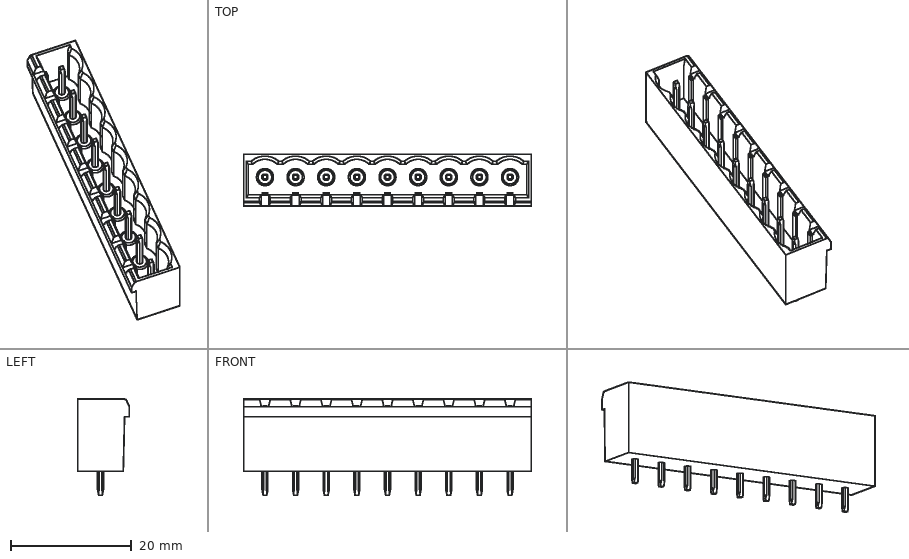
import cadquery as cq


PIN_COUNT = 9
PITCH = 5.08
END_MARGIN = 3.54
PIN_XS = [(i - (PIN_COUNT - 1) / 2) * PITCH for i in range(PIN_COUNT)]

LENGTH = (PIN_COUNT - 1) * PITCH + 2 * END_MARGIN
HEIGHT = 12.0
DEPTH = 8.6
BACK_Y = 3.8
FRONT_Y = BACK_Y - DEPTH

LIP_HEIGHT = 3.0
LIP_OVERHANG = 0.79
WALL_DRAFT = 0.21
BEVEL_TOP_SETBACK = 0.83
BEVEL_EDGE_SETBACK = 0.52
BEVEL_EDGE_DROP = 0.14
BEVEL_DROP = 1.28

FLOOR_Z = 3.0
LEAD_IN_DEPTH = 1.4
LEAD_IN_Z = HEIGHT - LEAD_IN_DEPTH
END_WALL = 0.77
END_LEAD_IN = 0.3
POCKET_BACK_Y = 2.1
BACK_LEAD_IN = 0.53
POCKET_FRONT_Y = -2.94
FRONT_LEAD_IN = 0.45
SCALLOP_RADIUS = 2.95

NOTCH_TOP_WIDTH = 1.82
NOTCH_FLOOR_WIDTH = 1.2

RIB_WIDTH = 0.95
RIB_REACH = 0.36
RIB_BEVEL = 0.18

COLLAR_BASE_RADIUS = 1.41
COLLAR_TOP_RADIUS = 1.14
COLLAR_HEIGHT = 0.3

PIN_WIDTH = 1.0
PIN_BEVEL = 0.28
PIN_TOP_Z = 10.9
PIN_BOTTOM_Z = -4.0
TIP_WIDTH = 0.6
TOP_TAPER = 1.2
BOTTOM_TAPER = 1.0


def make_housing():
    """Extrude the side outline along the row."""
    wall_top_y = FRONT_Y + LIP_OVERHANG
    outline = [
        (BACK_Y, 0),
        (wall_top_y + WALL_DRAFT, 0),
        (wall_top_y, HEIGHT - LIP_HEIGHT),
        (FRONT_Y, HEIGHT - LIP_HEIGHT),
        (FRONT_Y, HEIGHT - BEVEL_DROP),
        (FRONT_Y + BEVEL_EDGE_SETBACK, HEIGHT - BEVEL_EDGE_DROP),
        (FRONT_Y + BEVEL_TOP_SETBACK, HEIGHT),
        (BACK_Y, HEIGHT),
    ]
    return cq.Workplane("YZ").polyline(outline).close().extrude(LENGTH / 2, both=True)


def make_pocket():
    """Flared cavity plus one rounded bay per pin, trimmed at the end walls."""
    side_outline = [
        (POCKET_FRONT_Y, FLOOR_Z),
        (POCKET_BACK_Y, FLOOR_Z),
        (POCKET_BACK_Y, LEAD_IN_Z),
        (POCKET_BACK_Y + BACK_LEAD_IN, HEIGHT),
        (POCKET_FRONT_Y - FRONT_LEAD_IN, HEIGHT),
        (POCKET_FRONT_Y, LEAD_IN_Z),
    ]
    pocket = cq.Workplane("YZ").polyline(side_outline).close().extrude(LENGTH / 2, both=True)
    for x in PIN_XS:
        pocket = pocket.union(make_bay(x))
    return pocket.intersect(make_end_limits())


def make_end_limits():
    """Space between the flared end walls, spanning the whole depth."""
    half = LENGTH / 2 - END_WALL
    wide_half = half + END_LEAD_IN
    outline = [
        (-half, FLOOR_Z),
        (half, FLOOR_Z),
        (half, LEAD_IN_Z),
        (wide_half, HEIGHT),
        (-wide_half, HEIGHT),
        (-half, LEAD_IN_Z),
    ]
    return cq.Workplane("XZ").polyline(outline).close().extrude(DEPTH, both=True)


def make_bay(x):
    """Half-round bay behind one pin, flared to match the back of the mouth."""
    bay_height = HEIGHT - FLOOR_Z
    profile = [
        (0, 0),
        (SCALLOP_RADIUS, 0),
        (SCALLOP_RADIUS, LEAD_IN_Z - FLOOR_Z),
        (SCALLOP_RADIUS + BACK_LEAD_IN, bay_height),
        (0, bay_height),
    ]
    plane = cq.Workplane("XZ", origin=(x, 0, FLOOR_Z))
    return plane.polyline(profile).close().revolve(180, (0, 0), (0, 1))


def make_notch(x):
    """Tapered notch through the front wall, down to the foot of the bevel."""
    outline = [
        (-NOTCH_FLOOR_WIDTH / 2, HEIGHT - BEVEL_DROP),
        (NOTCH_FLOOR_WIDTH / 2, HEIGHT - BEVEL_DROP),
        (NOTCH_TOP_WIDTH / 2, HEIGHT),
        (-NOTCH_TOP_WIDTH / 2, HEIGHT),
    ]
    return cq.Workplane("XZ", origin=(x, POCKET_FRONT_Y, 0)).polyline(outline).close().extrude(DEPTH)


def make_rib(x):
    """Upright rib inside the front wall below a notch, bevelled at its top."""
    inner_y = POCKET_FRONT_Y + RIB_REACH
    outline = [
        (POCKET_FRONT_Y, FLOOR_Z),
        (inner_y, FLOOR_Z),
        (inner_y, LEAD_IN_Z - RIB_BEVEL),
        (inner_y - RIB_BEVEL, LEAD_IN_Z),
        (POCKET_FRONT_Y, LEAD_IN_Z),
    ]
    return cq.Workplane("YZ", origin=(x, 0, 0)).polyline(outline).close().extrude(RIB_WIDTH / 2, both=True)


def make_collar(x):
    """Low cone on the pocket floor around one pin."""
    return cq.Workplane(
        cq.Solid.makeCone(COLLAR_BASE_RADIUS, COLLAR_TOP_RADIUS, COLLAR_HEIGHT, cq.Vector(x, 0, FLOOR_Z))
    )


def make_taper(x, start_z, length):
    """Square pin end that narrows from full width over a signed length."""
    return (
        cq.Workplane("XY", origin=(x, 0, start_z))
        .rect(PIN_WIDTH, PIN_WIDTH)
        .workplane(offset=length)
        .rect(TIP_WIDTH, TIP_WIDTH)
        .loft(ruled=True)
    )


def make_pin(x):
    """Square pin with tapered ends and bevelled long edges."""
    shank_bottom = PIN_BOTTOM_Z + BOTTOM_TAPER
    shank_top = PIN_TOP_Z - TOP_TAPER
    shank = (
        cq.Workplane("XY", origin=(x, 0, shank_bottom))
        .rect(PIN_WIDTH, PIN_WIDTH)
        .extrude(shank_top - shank_bottom)
    )
    upper_tip = make_taper(x, shank_top, TOP_TAPER)
    lower_tip = make_taper(x, shank_bottom, -BOTTOM_TAPER)
    bevelled_bar = (
        cq.Workplane("XY", origin=(x, 0, PIN_BOTTOM_Z))
        .rect(PIN_WIDTH, PIN_WIDTH)
        .extrude(PIN_TOP_Z - PIN_BOTTOM_Z)
        .edges("|Z")
        .chamfer(PIN_BEVEL)
    )
    return shank.union(upper_tip).union(lower_tip).intersect(bevelled_bar)


result = make_housing().cut(make_pocket())
for pin_x in PIN_XS:
    result = result.cut(make_notch(pin_x))
    result = result.union(make_rib(pin_x))
    result = result.union(make_collar(pin_x))
    result = result.union(make_pin(pin_x))